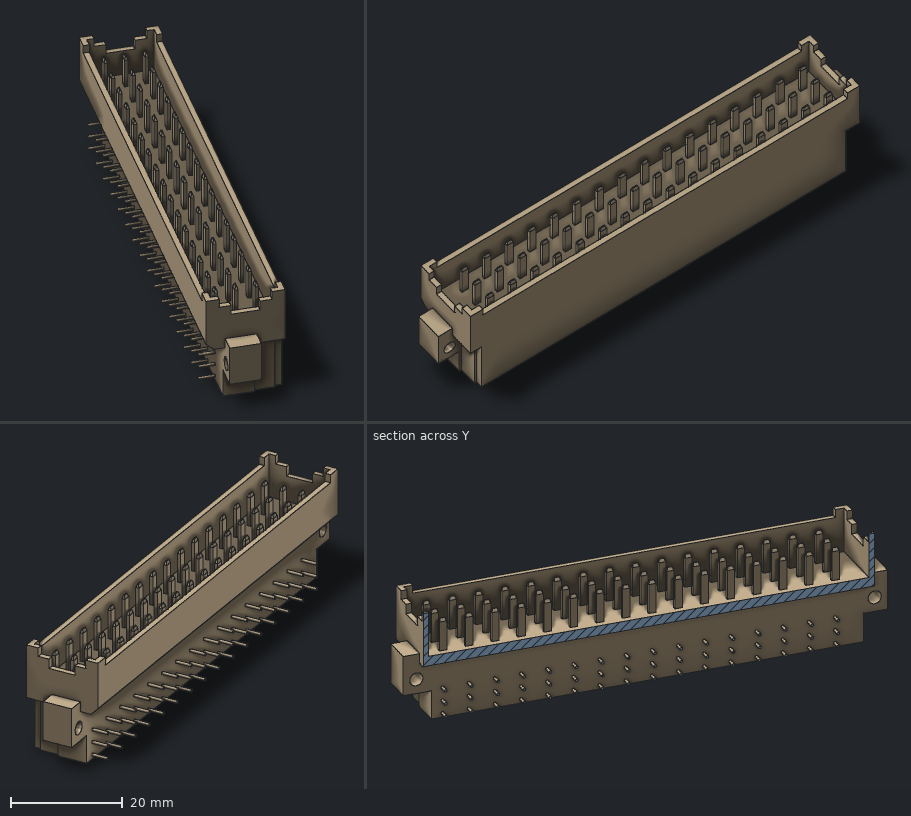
import cadquery as cq

length = 94.0
height = 22.1
depth = 14.8
back_y = depth / 2

shell_length = 87.6
shell_bottom = 11.5
shell_chamfer = 1.4
wall = 1.1
cavity_floor = 13.4

corner_tab = 2.8
side_rim_drop = 1.6
end_rim_drop = 1.7
end_notch_drop = 3.6
end_rim_width = 9.8
end_notch_width = 5.4

foot_front = -3.81
foot_length = 83.85
foot_center_x = 0.4
foot_step_y = 2.1
middle_length = 82.9
middle_step_y = 5.97
back_length = 82.0

ear_bottom = 5.6
ear_top = 13.4
hole_diameter = 2.5
hole_inset = 2.5
hole_z = 8.5

columns = 16
column_pitch = 5.1
columns_center_x = -1.3
pin_row_pitch = 3.81
pin_width = 1.4
pin_thickness = 0.7
pin_top = 19.8
pin_tip_height = 0.7
pin_tip_chamfer = 0.235
tail_diameter = 0.6
tail_end_y = -7.0
tail_row_pitch = 2.5
lowest_tail_z = 0.8
rows = 3
embed = 0.9


def block(x_size, y_min, y_max, z_min, z_max, x_center=0.0):
    """Box centred on x_center, spanning the given Y and Z ranges."""
    return (
        cq.Workplane("XY")
        .box(x_size, y_max - y_min, z_max - z_min, centered=(True, False, False))
        .translate((x_center, y_min, z_min))
    )


def make_shell():
    shell = block(shell_length, -back_y, back_y, shell_bottom, height)
    shell = shell.edges("<Y and <Z").chamfer(shell_chamfer)
    inner_y = back_y - wall
    cavity = block(shell_length - 2 * wall, -inner_y, inner_y, cavity_floor, height)
    side_cut = block(
        shell_length - 2 * corner_tab, -back_y, back_y, height - side_rim_drop, height
    )
    shell = shell.cut(cavity).cut(side_cut)
    for width, drop in ((end_rim_width, end_rim_drop), (end_notch_width, end_notch_drop)):
        shell = shell.cut(block(shell_length, -width / 2, width / 2, height - drop, height))
    return shell


def make_foot():
    front = block(foot_length, foot_front, foot_step_y, 0, shell_bottom, foot_center_x)
    middle = block(middle_length, foot_step_y, middle_step_y, 0, shell_bottom, foot_center_x)
    back = block(back_length, middle_step_y, back_y, 0, shell_bottom, foot_center_x)
    return front.union(middle).union(back)


def make_ears():
    """Bar through the body whose two drilled ends form the ears."""
    bar = block(length, foot_front, foot_step_y, ear_bottom, ear_top)
    for side in (-1, 1):
        hole = (
            cq.Workplane("XZ", origin=(side * (length / 2 - hole_inset), 0, hole_z))
            .circle(hole_diameter / 2)
            .extrude(depth, both=True)
        )
        bar = bar.cut(hole)
    return bar


def contact_grid(row_pitch):
    """Centres of the contact columns and rows, with rows spread about zero."""
    return [
        (
            columns_center_x + (column - (columns - 1) / 2) * column_pitch,
            (row - (rows - 1) / 2) * row_pitch,
        )
        for column in range(columns)
        for row in range(rows)
    ]


def make_pins():
    """Rectangular pins with tapered tips, standing on the cavity floor."""
    start_z = cavity_floor - embed
    shoulder_z = pin_top - pin_tip_height
    half = pin_thickness / 2
    shaft = block(pin_width, -half, half, start_z, shoulder_z)
    tip = (
        cq.Workplane("XY", origin=(0, 0, shoulder_z))
        .rect(pin_width, pin_thickness)
        .workplane(offset=pin_tip_height)
        .rect(pin_width - 2 * pin_tip_chamfer, pin_thickness - 2 * pin_tip_chamfer)
        .loft()
    )
    pin = shaft.union(tip).val()
    return (
        cq.Workplane("XY")
        .pushPoints(contact_grid(pin_row_pitch))
        .eachpoint(lambda location: pin.moved(location))
    )


def make_tails():
    """Round solder tails running forward from the body."""
    start_y = foot_front + embed
    middle_row_z = lowest_tail_z + (rows - 1) / 2 * tail_row_pitch
    return (
        cq.Workplane("XZ", origin=(0, start_y, middle_row_z))
        .pushPoints(contact_grid(tail_row_pitch))
        .circle(tail_diameter / 2)
        .extrude(start_y - tail_end_y)
    )


body = make_shell().union(make_foot()).union(make_ears())
result = body.union(make_pins()).union(make_tails())